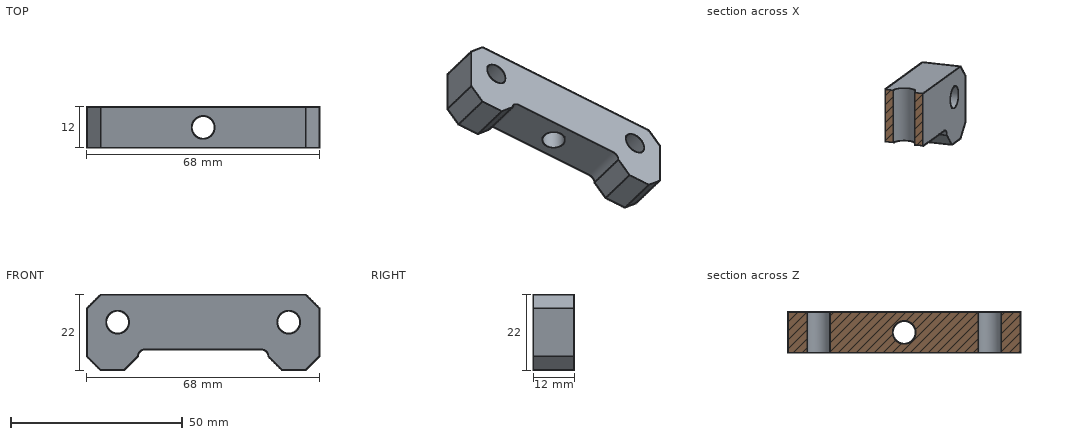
import cadquery as cq

length = 68.0
depth = 12.0
height = 22.0
corner_chamfer = 4.0

recess_width = 38.0
recess_height = 6.0
recess_fillet = recess_height - corner_chamfer

hole_diameter = 6.6
cross_hole_spacing = 50.0
cross_hole_height = 14.0


def make_block():
    """Bar centred on X and Y, resting on Z = 0, with its four end edges chamfered."""
    block = cq.Workplane("XY").box(length, depth, height, centered=(True, True, False))
    return block.edges("|Y").chamfer(corner_chamfer)


def make_recess():
    """Flared recess with rounded upper corners, running through the full depth."""
    half_width = recess_width / 2
    mouth_half_width = half_width + corner_chamfer
    ceiling_half_width = half_width - recess_fillet
    return (
        cq.Workplane("XZ")
        .moveTo(-mouth_half_width, 0)
        .lineTo(-half_width, corner_chamfer)
        .radiusArc((-ceiling_half_width, recess_height), recess_fillet)
        .lineTo(ceiling_half_width, recess_height)
        .radiusArc((half_width, corner_chamfer), recess_fillet)
        .lineTo(mouth_half_width, 0)
        .close()
        .extrude(depth / 2, both=True)
    )


def make_cross_holes():
    """Two through holes along Y, one near each end."""
    half_spacing = cross_hole_spacing / 2
    return (
        cq.Workplane("XZ")
        .pushPoints([(side * half_spacing, cross_hole_height) for side in (-1, 1)])
        .circle(hole_diameter / 2)
        .extrude(depth / 2, both=True)
    )


def make_vertical_hole():
    """Central through hole along Z."""
    return cq.Workplane("XY").circle(hole_diameter / 2).extrude(height)


result = make_block().cut(make_recess()).cut(make_cross_holes()).cut(make_vertical_hole())